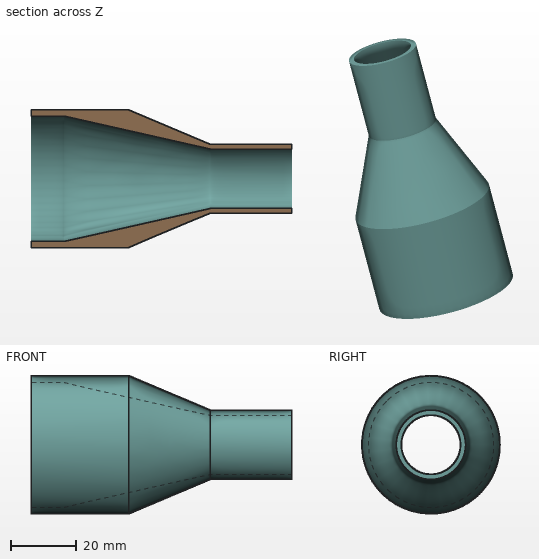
import cadquery as cq

total_length = 80.0
socket_length = 30.0
cone_length = (total_length - socket_length) / 2
cone_end = socket_length + cone_length

counterbore_depth = 10.0

socket_outer_diameter = 42.4
socket_bore_diameter = 38.4
spigot_outer_diameter = 21.3
spigot_bore_diameter = 18.1


def reducer_solid(wide_diameter, narrow_diameter, taper_start):
    """Solid of revolution about X: wide cylinder, taper up to cone_end, narrow cylinder."""
    wide_radius = wide_diameter / 2
    narrow_radius = narrow_diameter / 2
    profile = [
        (0, 0),
        (0, wide_radius),
        (taper_start, wide_radius),
        (cone_end, narrow_radius),
        (total_length, narrow_radius),
        (total_length, 0),
    ]
    return cq.Workplane("XY").polyline(profile).close().revolve(360, (0, 0, 0), (1, 0, 0))


body = reducer_solid(socket_outer_diameter, spigot_outer_diameter, socket_length)
bore = reducer_solid(socket_bore_diameter, spigot_bore_diameter, counterbore_depth)
result = body.cut(bore)